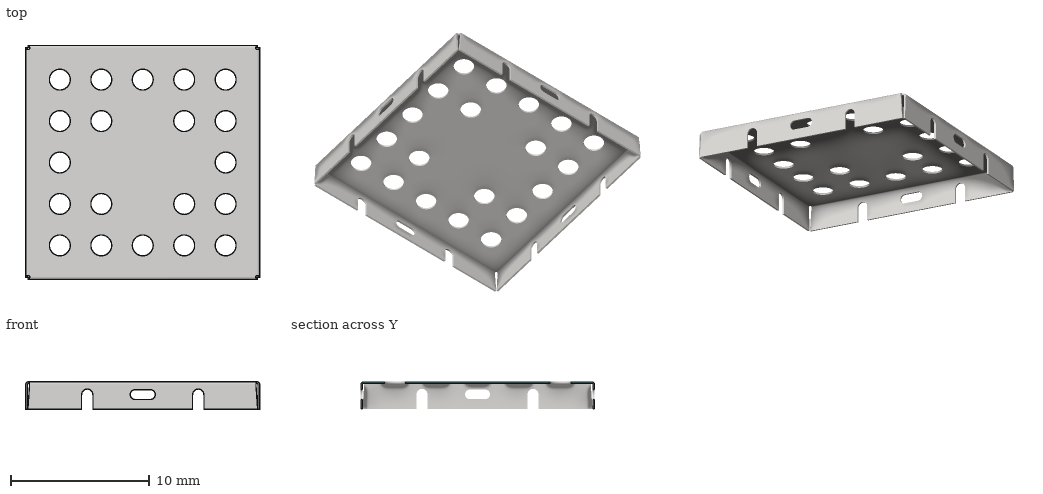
import cadquery as cq

side = 16.96
height = 2.0
sheet = 0.14
bend_radius = 0.2

hole_diameter = 1.5
hole_pitch = 3.0
rows_each_side = 2
pickup_area = [(0, 1), (-1, 0), (0, 0), (1, 0), (0, -1)]

notch_width = 0.8
notch_height = 1.46
notch_offset = 4.02
slot_length = 1.8
slot_height = 0.7
slot_center_z = 1.07

gap_top = 0.29
gap_bottom = 0.15
bevel_leg = 0.51


def make_shell():
    """Bent sheet pan with rounded bends along the four top edges."""
    outer = cq.Workplane("XY").box(side, side, height, centered=(True, True, False))
    outer = outer.faces(">Z").edges().fillet(bend_radius)
    inner_side = side - 2 * sheet
    inner = cq.Workplane("XY").box(
        inner_side, inner_side, height - sheet, centered=(True, True, False)
    )
    inner = inner.faces(">Z").edges().fillet(bend_radius - sheet)
    return outer.cut(inner)


def make_vent_holes():
    """5 x 5 grid of holes, leaving a solid pick-up area in the middle."""
    steps = range(-rows_each_side, rows_each_side + 1)
    centers = [
        (column * hole_pitch, row * hole_pitch)
        for column in steps
        for row in steps
        if (column, row) not in pickup_area
    ]
    return cq.Workplane("XY").pushPoints(centers).circle(hole_diameter / 2).extrude(height)


def make_wall_openings():
    """Two round-topped notches and one slot, cut through a pair of opposite walls."""
    notch_radius = notch_width / 2
    straight_height = notch_height - notch_radius
    openings = (
        cq.Workplane("XZ")
        .center(0, slot_center_z)
        .slot2D(slot_length, slot_height)
        .extrude(side / 2, both=True)
    )
    for x in (-notch_offset, notch_offset):
        notch = (
            cq.Workplane("XZ")
            .moveTo(x - notch_radius, 0)
            .lineTo(x - notch_radius, straight_height)
            .threePointArc((x, notch_height), (x + notch_radius, straight_height))
            .lineTo(x + notch_radius, 0)
            .close()
            .extrude(side / 2, both=True)
        )
        openings = openings.union(notch)
    return openings


def make_corner_cut():
    """Tapered square gap at the corner (-X, -Y), ending in a diagonal bevel at the top plate."""
    corner = -side / 2
    widening = gap_top - gap_bottom
    gap = (
        cq.Workplane("XY", origin=(corner, corner, 0))
        .center(gap_bottom / 2, gap_bottom / 2)
        .rect(gap_bottom, gap_bottom)
        .workplane(offset=height)
        .center(widening / 2, widening / 2)
        .rect(gap_top, gap_top)
        .loft(ruled=True)
    )
    bevel_limit = (
        cq.Workplane("XY", origin=(corner, corner, 0))
        .polyline([(0, 0), (bevel_leg, 0), (0, bevel_leg)])
        .close()
        .extrude(height)
    )
    return gap.intersect(bevel_limit)


result = make_shell().cut(make_vent_holes())

wall_openings = make_wall_openings()
for angle in (0, 90):
    result = result.cut(wall_openings.rotate((0, 0, 0), (0, 0, 1), angle))

corner_cut = make_corner_cut()
for angle in (0, 90, 180, 270):
    result = result.cut(corner_cut.rotate((0, 0, 0), (0, 0, 1), angle))